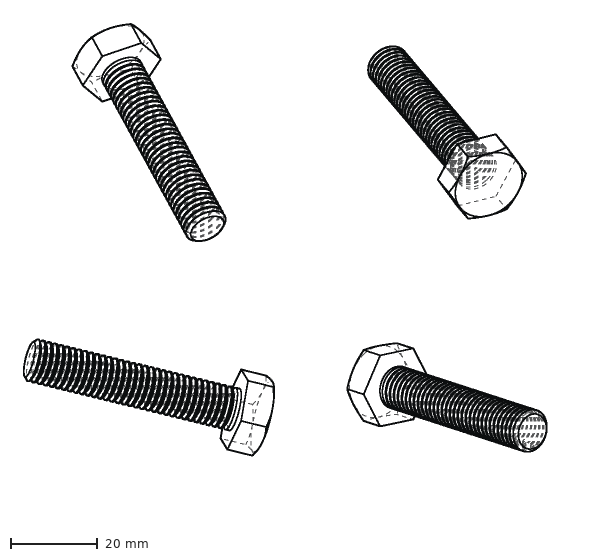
import cadquery as cq
import math

total_length = 56.85
head_height = 6.9
across_flats = 17.0
across_corners = across_flats / math.cos(math.radians(30))
head_chamfer_angle = 30.0

thread_diameter = 10.0
thread_depth = 0.85
groove_count = 33
thread_length = 48.5
crest_width = 0.35
plain_neck_length = 0.9
tip_chamfer = 0.85

thread_radius = thread_diameter / 2
thread_pitch = thread_length / groove_count
groove_width = thread_pitch - crest_width
thread_start = head_height + plain_neck_length


def revolve_about_x(profile):
    """Turn a closed profile, drawn as X against radius, about the X axis."""
    return profile.revolve(360, (0, 0, 0), (1, 0, 0))


def make_head():
    """Hexagonal head with two flats facing +Z and -Z and its outer corners coned off."""
    hexagon = cq.Workplane("YZ").polygon(6, across_corners).extrude(head_height)
    face_radius = across_flats / 2
    corner_radius = across_corners / 2
    cone_depth = (corner_radius - face_radius) * math.tan(math.radians(head_chamfer_angle))
    envelope = revolve_about_x(
        cq.Workplane("XY")
        .lineTo(0, face_radius)
        .lineTo(cone_depth, corner_radius)
        .lineTo(head_height, corner_radius)
        .lineTo(head_height, 0)
        .close()
    )
    return hexagon.intersect(envelope)


def make_shank():
    """Plain neck, grooved thread and chamfered tip, turned as one profile."""
    profile = cq.Workplane("XY").moveTo(head_height, 0).lineTo(head_height, thread_radius)
    for groove in range(groove_count):
        groove_start = thread_start + groove * thread_pitch
        profile = (
            profile.lineTo(groove_start, thread_radius)
            .lineTo(groove_start + groove_width / 2, thread_radius - thread_depth)
            .lineTo(groove_start + groove_width, thread_radius)
        )
    profile = (
        profile.lineTo(total_length - tip_chamfer, thread_radius)
        .lineTo(total_length, thread_radius - tip_chamfer)
        .lineTo(total_length, 0)
        .close()
    )
    return revolve_about_x(profile)


result = make_head().union(make_shank())